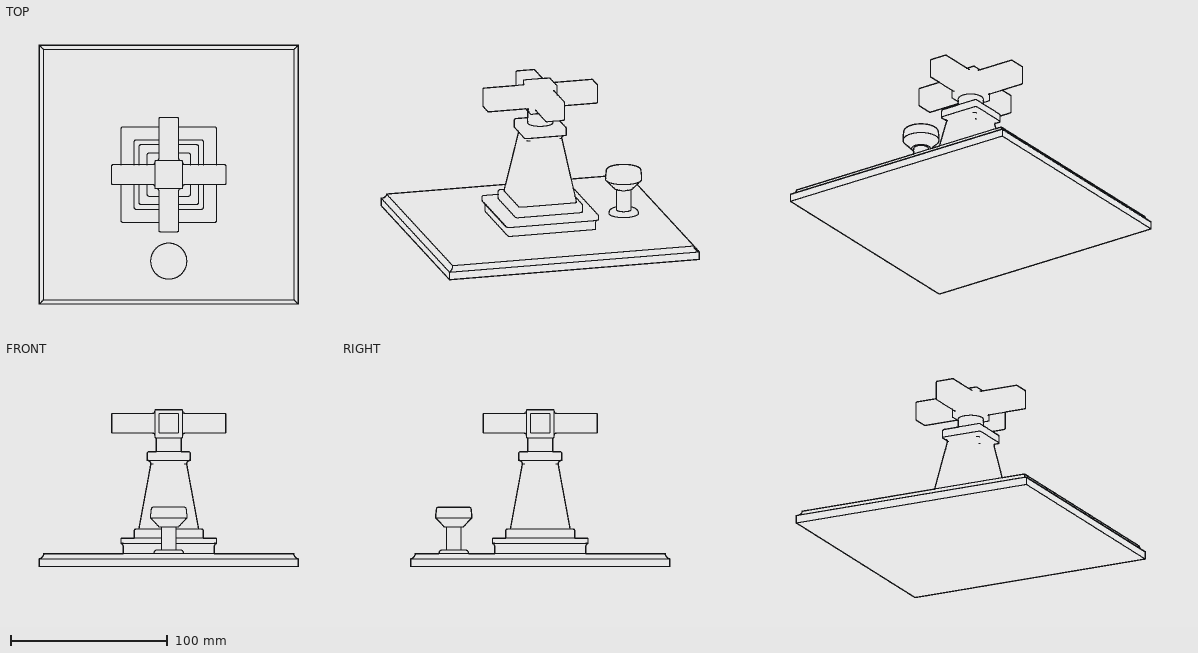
import cadquery as cq

COVE_ALLOWANCE = 4.0

PICK_MARGIN = 0.01

PLATE_SIDE = 165.1
PLATE_LEDGE_Z = 5.0
PLATE_TOP_Z = 8.4
PLATE_RIM_INSET = 2.8
PLATE_COVE_RADIUS = PLATE_TOP_Z - PLATE_LEDGE_Z

BASE_SIDE = 58.0
BASE_FLANGE_SIDE = 61.0
BASE_FLANGE_BOTTOM_Z = 15.0
BASE_COVE_RADIUS = 2.4
BASE_CORNER_RADIUS = 1.5
BASE_TOP_Z = 18.2
BASE_RIM_RADIUS = 0.8
STEP_SIDE = 44.2
STEP_TOP_Z = 24.1
STEP_EDGE_RADIUS = 1.4
TAPER_BOTTOM_SIDE = 38.2
TAPER_TOP_SIDE = 23.0
TAPER_TOP_Z = 65.3
TAPER_EDGE_RADIUS = 1.5
CAP_SIDE = 27.7
CAP_BOTTOM_Z = 67.8
CAP_TOP_Z = 73.4
CAP_EDGE_RADIUS = 1.5
NECK_COVE_RADIUS = 2.4

STEM_RADIUS = 8.1
HUB_SIDE = 17.8
HUB_BOTTOM_Z = 82.0
HUB_TOP_Z = 100.11
HUB_EDGE_RADIUS = 0.8
ARM_SPAN = 72.9
ARM_THICKNESS = 12.7
ARM_CENTER_Z = 91.4
ARM_EDGE_RADIUS = 1.0
ARM_ROOT_RADIUS = 1.3

KNOB_Y = -55.1
KNOB_COLLAR_RADIUS = 9.5
KNOB_COLLAR_HEIGHT = 2.4
KNOB_SHAFT_RADIUS = 4.7
KNOB_CONE_BOTTOM_RADIUS = 6.0
KNOB_CONE_BOTTOM_Z = 25.2
KNOB_HEAD_RADIUS = 11.5
KNOB_BAND_BOTTOM_Z = 31.0
KNOB_BAND_TOP_Z = 33.7
KNOB_CROWN_RADIUS = 11.0
KNOB_TOP_Z = 37.9
KNOB_TOP_EDGE_RADIUS = 1.2


def square_block(side, bottom_z, top_z):
    """Square block centred on the Z axis."""
    return cq.Workplane("XY").workplane(offset=bottom_z).rect(side, side).extrude(top_z - bottom_z)


def horizontal_edges_at(solid, side, z):
    """The edges centred at height z, inside or on a square of the given side."""
    reach = side / 2 + PICK_MARGIN
    low_corner = (-reach, -reach, z - PICK_MARGIN)
    high_corner = (reach, reach, z + PICK_MARGIN)
    return solid.edges(cq.selectors.BoxSelector(low_corner, high_corner))


def make_plate():
    """Plate whose raised field is bordered by a cove running out to the rim."""
    raised_side = PLATE_SIDE - 2 * PLATE_RIM_INSET
    oversize = square_block(PLATE_SIDE + 2 * COVE_ALLOWANCE, 0, PLATE_LEDGE_Z)
    oversize = oversize.union(square_block(raised_side, PLATE_LEDGE_Z, PLATE_TOP_Z + COVE_ALLOWANCE))
    oversize = horizontal_edges_at(oversize, raised_side, PLATE_LEDGE_Z).fillet(PLATE_COVE_RADIUS)
    return oversize.intersect(square_block(PLATE_SIDE, 0, PLATE_TOP_Z))


def coved_flange(block_side, corner_radius, bottom_z, cove_radius, envelope, flange_bottom_z, top_z):
    """Square block that sweeps out through a cove into a wider flange, trimmed to the envelope."""
    block = square_block(block_side, bottom_z, flange_bottom_z)
    block = block.edges("|Z").fillet(corner_radius)
    oversize = block.union(square_block(block_side + 2 * COVE_ALLOWANCE, flange_bottom_z, top_z))
    oversize = horizontal_edges_at(oversize, block_side, flange_bottom_z).fillet(cove_radius)
    return oversize.intersect(envelope)


def make_base():
    envelope = square_block(BASE_FLANGE_SIDE, PLATE_TOP_Z, BASE_TOP_Z)
    envelope = envelope.edges("|Z").fillet(BASE_CORNER_RADIUS).faces(">Z").edges().fillet(BASE_RIM_RADIUS)
    return coved_flange(
        BASE_SIDE,
        BASE_CORNER_RADIUS,
        PLATE_TOP_Z,
        BASE_COVE_RADIUS,
        envelope,
        BASE_FLANGE_BOTTOM_Z,
        BASE_TOP_Z,
    )


def make_step():
    step = square_block(STEP_SIDE, BASE_TOP_Z, STEP_TOP_Z)
    return step.edges("|Z or >Z").fillet(STEP_EDGE_RADIUS)


def make_tapered_column():
    column = (
        cq.Workplane("XY")
        .workplane(offset=STEP_TOP_Z)
        .rect(TAPER_BOTTOM_SIDE, TAPER_BOTTOM_SIDE)
        .workplane(offset=TAPER_TOP_Z - STEP_TOP_Z)
        .rect(TAPER_TOP_SIDE, TAPER_TOP_SIDE)
        .loft(ruled=True)
    )
    return column.edges("not (#Z)").fillet(TAPER_EDGE_RADIUS)


def make_neck_and_cap():
    envelope = square_block(CAP_SIDE, TAPER_TOP_Z, CAP_TOP_Z)
    envelope = envelope.edges("|Z or >Z").fillet(CAP_EDGE_RADIUS)
    return coved_flange(
        TAPER_TOP_SIDE,
        TAPER_EDGE_RADIUS,
        TAPER_TOP_Z,
        NECK_COVE_RADIUS,
        envelope,
        CAP_BOTTOM_Z,
        CAP_TOP_Z,
    )


def arm_root_selector(along_x, side):
    """Selects the edges where one arm meets its hub face; side is -1 or 1 along the arm's axis."""
    half_arm = ARM_THICKNESS / 2 + PICK_MARGIN
    half_reach_x, half_reach_y = (PICK_MARGIN, half_arm) if along_x else (half_arm, PICK_MARGIN)
    face_offset = side * HUB_SIDE / 2
    center_x, center_y = (face_offset, 0) if along_x else (0, face_offset)
    low_corner = (center_x - half_reach_x, center_y - half_reach_y, ARM_CENTER_Z - half_arm)
    high_corner = (center_x + half_reach_x, center_y + half_reach_y, ARM_CENTER_Z + half_arm)
    return cq.selectors.BoxSelector(low_corner, high_corner, boundingbox=True)


def make_handle():
    stem_height = HUB_BOTTOM_Z - CAP_TOP_Z
    stem = cq.Workplane("XY").workplane(offset=CAP_TOP_Z).circle(STEM_RADIUS).extrude(stem_height)
    hub = square_block(HUB_SIDE, HUB_BOTTOM_Z, HUB_TOP_Z).edges().fillet(HUB_EDGE_RADIUS)
    bar = cq.Workplane("XY").box(ARM_SPAN, ARM_THICKNESS, ARM_THICKNESS)
    bar = bar.edges().fillet(ARM_EDGE_RADIUS).translate((0, 0, ARM_CENTER_Z))
    cross = hub.union(bar).union(bar.rotate((0, 0, 0), (0, 0, 1), 90))
    for along_x in (True, False):
        for side in (-1, 1):
            cross = cross.edges(arm_root_selector(along_x, side)).fillet(ARM_ROOT_RADIUS)
    return stem.union(cross)


def make_knob():
    collar_top_z = PLATE_TOP_Z + KNOB_COLLAR_HEIGHT
    profile = (
        cq.Workplane("XZ")
        .moveTo(0, PLATE_TOP_Z)
        .lineTo(KNOB_COLLAR_RADIUS, PLATE_TOP_Z)
        .radiusArc((KNOB_COLLAR_RADIUS - KNOB_COLLAR_HEIGHT, collar_top_z), -KNOB_COLLAR_HEIGHT)
        .lineTo(KNOB_SHAFT_RADIUS, collar_top_z)
        .lineTo(KNOB_SHAFT_RADIUS, KNOB_CONE_BOTTOM_Z)
        .lineTo(KNOB_CONE_BOTTOM_RADIUS, KNOB_CONE_BOTTOM_Z)
        .lineTo(KNOB_HEAD_RADIUS, KNOB_BAND_BOTTOM_Z)
        .lineTo(KNOB_HEAD_RADIUS, KNOB_BAND_TOP_Z)
        .lineTo(KNOB_CROWN_RADIUS, KNOB_TOP_Z)
        .lineTo(0, KNOB_TOP_Z)
        .close()
    )
    knob = profile.revolve(360, (0, 0, 0), (0, 1, 0))
    knob = knob.faces(">Z").edges().fillet(KNOB_TOP_EDGE_RADIUS)
    return knob.translate((0, KNOB_Y, 0))


pedestal = make_base().union(make_step()).union(make_tapered_column()).union(make_neck_and_cap())
result = make_plate().union(pedestal).union(make_handle()).union(make_knob())